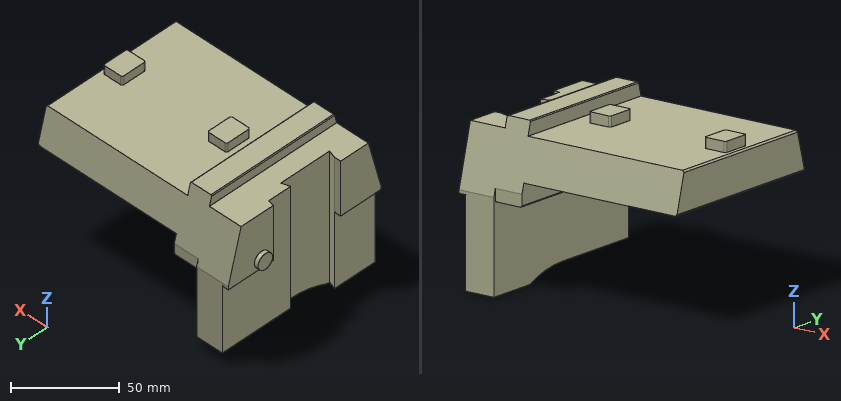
import cadquery as cq
import math

head_front = 2.4
plate_front = 6.3
groove_floor = 11.1
plate_back = 22.9
rib_back = 36.5
step_back = 38.5
arm_end = 127.8

plate_bottom = 5.6
step_bottom = 45.6
head_bottom = 46.1
taper_start = 47.9
arm_bottom = 57.0
arm_top = 77.8
head_top = 79.2
pad_top = 83.2
rib_top = 85.0

width = 100.0
step_width = 97.9
half_width = width / 2
side_angle = math.radians(15)

groove_left = 5.4
groove_right = -23.4
groove_flare = 1.5
recess_left = 20.6
recess_flare = 0.9

arc_start = 1.0

pin_diameter = 9.5
pin_y = 28.2
pin_z = 51.5
pad_length = 12.3
pad_width = 15.3
pad_corner = 1.0
pad_y = 0.3
pad_starts = (45.1, 112.4)

arm_chamfer = 0.9
step_chamfer = 0.8
rib_chamfer = 0.5


def box(x0, x1, y0, y1, z0, z1):
    """Box between two opposite corners."""
    return cq.Workplane("XY").box(x1 - x0, y1 - y0, z1 - z0, centered=False).translate((x0, y0, z0))


def tapered_section():
    """Full-length envelope with upright lower sides and leaning upper sides."""
    top_half = half_width - (rib_top - taper_start) * math.tan(side_angle)
    outline = [
        (-half_width, 0),
        (half_width, 0),
        (half_width, taper_start),
        (top_half, rib_top),
        (-top_half, rib_top),
        (-half_width, taper_start),
    ]
    return cq.Workplane("YZ").polyline(outline).close().extrude(arm_end)


def bracket():
    """Head, rib and arm above a step and an upright plate."""
    head = box(head_front, plate_back, -half_width, half_width, head_bottom, head_top)
    plate = box(plate_front, plate_back, -half_width, half_width, 0, head_top)
    rib = box(plate_back, rib_back, -half_width, half_width, arm_bottom, rib_top)
    rib = rib.edges("|Y and >Z").chamfer(rib_chamfer)
    step = box(plate_back, step_back, -step_width / 2, step_width / 2, step_bottom, arm_top)
    step = step.edges("|Y and >X and <Z").chamfer(step_chamfer)
    arm = box(plate_back, arm_end, -half_width, half_width, arm_bottom, arm_top)
    arm = arm.edges("|Y and >X").chamfer(arm_chamfer)
    solid = head.union(plate).union(rib).union(step).union(arm)
    return solid.intersect(tapered_section())


def front_groove():
    """Dovetail groove, opening into a shallow recess that reaches the front face."""
    outline = [
        (head_front, recess_left),
        (plate_front, recess_left - recess_flare),
        (plate_front, groove_left),
        (groove_floor, groove_left + groove_flare),
        (groove_floor, groove_right - groove_flare),
        (plate_front, groove_right),
        (head_front, groove_right),
    ]
    return cq.Workplane("XY").polyline(outline).close().extrude(head_top)


def underside_relief():
    """Space below the plate, curving down to the foot at the -Y side."""
    run = arc_start - groove_right
    radius = (run**2 + plate_bottom**2) / (2 * plate_bottom)
    half_sweep = math.asin(run / radius) / 2
    arc_middle = (
        arc_start - radius * math.sin(half_sweep),
        plate_bottom - radius * (1 - math.cos(half_sweep)),
    )
    return (
        cq.Workplane("YZ")
        .moveTo(half_width, 0)
        .lineTo(half_width, plate_bottom)
        .lineTo(arc_start, plate_bottom)
        .threePointArc(arc_middle, (groove_right, 0))
        .close()
        .extrude(plate_back)
    )


def pin():
    """Round pin on the front of the head, pointing to -X."""
    return cq.Workplane("YZ").center(pin_y, pin_z).circle(pin_diameter / 2).extrude(plate_front)


def pad(start):
    """Locating pad with rounded corners on top of the arm."""
    y0 = pad_y - pad_width / 2
    block = box(start, start + pad_length, y0, y0 + pad_width, arm_bottom, pad_top)
    return block.edges("|Z").fillet(pad_corner)


result = bracket().cut(front_groove()).cut(underside_relief()).union(pin())
for pad_start in pad_starts:
    result = result.union(pad(pad_start))